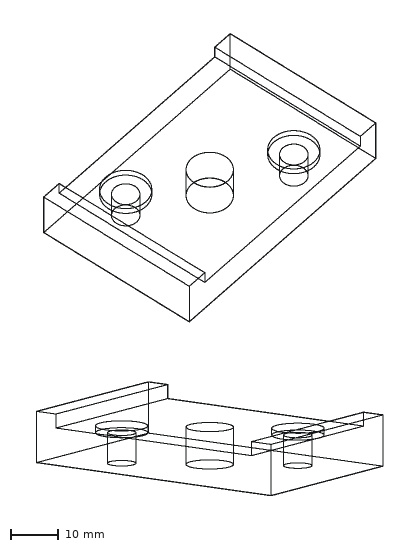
import cadquery as cq

width = 40.0
length = 61.25
height = 11.0

lip_width = 5.1
lip_height = 3.0
floor_height = height - lip_height
floor_length = length - 2 * lip_width

center_hole_diameter = 10.0
screw_hole_diameter = 6.0
counterbore_diameter = 11.0
counterbore_depth = 1.5
screw_offset_x = 9.9
screw_offset_y = 15.75
screw_positions = [
    (screw_offset_x, screw_offset_y),
    (-screw_offset_x, -screw_offset_y),
]

block = cq.Workplane("XY").box(width, length, height, centered=(True, True, False))

channel = (
    cq.Workplane("XY")
    .workplane(offset=floor_height)
    .rect(width, floor_length)
    .extrude(lip_height)
)
body = block.cut(channel)

floor_plane = cq.Workplane("XY").workplane(offset=floor_height)
center_hole = floor_plane.circle(center_hole_diameter / 2).extrude(-floor_height)
screw_holes = (
    floor_plane.pushPoints(screw_positions)
    .circle(screw_hole_diameter / 2)
    .extrude(-floor_height)
)

counterbores = (
    floor_plane.pushPoints(screw_positions)
    .circle(counterbore_diameter / 2)
    .extrude(-counterbore_depth)
)

result = body.cut(center_hole).cut(screw_holes).cut(counterbores)